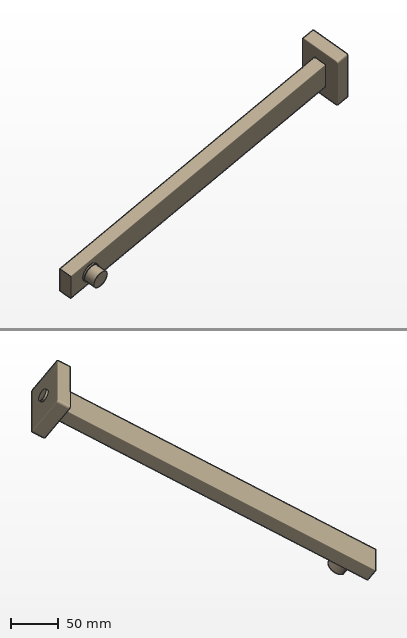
import cadquery as cq

OVERALL_LENGTH = 411.0

PLATE_WIDTH = 50.5
PLATE_HEIGHT = 70.5
PLATE_THICKNESS = 16.0
PLATE_CORNER_RADIUS = 3.0
PLATE_EDGE_RADIUS = 1.0
BOSS_DIAMETER = 14.0
BOSS_LENGTH = 3.0

ARM_WIDTH = 16.0
ARM_HEIGHT = 35.8
ARM_EDGE_RADIUS = 1.0

OUTLET_SETBACK = 29.0
COLLAR_DIAMETER = 22.0
COLLAR_LENGTH = 2.0
SPIGOT_DIAMETER = 20.5
SPIGOT_LENGTH = 13.0

PLATE_BACK_Y = OVERALL_LENGTH - BOSS_LENGTH
ARM_LENGTH = PLATE_BACK_Y - PLATE_THICKNESS


def make_plate():
    """Rounded rectangular plate with the boss standing on its back face."""
    plate = (
        cq.Workplane("XY")
        .box(PLATE_WIDTH, PLATE_THICKNESS, PLATE_HEIGHT)
        .edges("|Y")
        .fillet(PLATE_CORNER_RADIUS)
        .faces("<Y or >Y")
        .edges()
        .fillet(PLATE_EDGE_RADIUS)
        .translate((0, PLATE_BACK_Y - PLATE_THICKNESS / 2, 0))
    )
    boss = (
        cq.Workplane("XZ", origin=(0, PLATE_BACK_Y, 0))
        .circle(BOSS_DIAMETER / 2)
        .extrude(-BOSS_LENGTH)
    )
    return plate.union(boss)


def make_arm():
    """Rectangular bar from its free end to the front face of the plate."""
    return (
        cq.Workplane("XY")
        .box(ARM_WIDTH, ARM_LENGTH, ARM_HEIGHT)
        .edges("|Y")
        .fillet(ARM_EDGE_RADIUS)
        .translate((0, ARM_LENGTH / 2, 0))
    )


def make_outlet():
    """Collar against the side of the arm, then the narrower spigot."""
    return (
        cq.Workplane("YZ", origin=(ARM_WIDTH / 2, OUTLET_SETBACK, 0))
        .circle(COLLAR_DIAMETER / 2)
        .extrude(COLLAR_LENGTH)
        .faces(">X")
        .workplane()
        .circle(SPIGOT_DIAMETER / 2)
        .extrude(SPIGOT_LENGTH)
    )


plate = make_plate()
arm = make_arm()
outlet = make_outlet()

result = cq.Compound.makeCompound([plate.val(), arm.val(), outlet.val()])